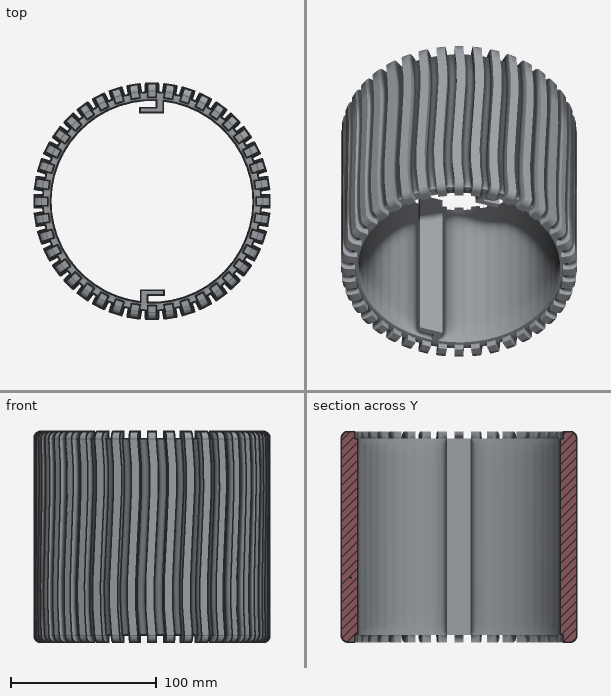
import cadquery as cq

sleeve_inner_radius = 69.5
sleeve_outer_radius = 75.0
overall_height = 145.0
rib_overhang = 5.0
sleeve_bottom = rib_overhang
sleeve_top = overall_height - rib_overhang
sleeve_height = sleeve_top - sleeve_bottom

rib_count = 40
rib_width = 6.0
rib_inner_radius = 71.5
rib_outer_radius = 81.0
rib_depth = rib_outer_radius - rib_inner_radius
wave_amplitude = 1.5
wave_crest_height = 24.0
rib_end_radius = rib_overhang

hook_count = 2
hook_leg_inner_side = 3.0
hook_leg_thickness = 4.8
hook_leg_outer_side = hook_leg_inner_side + hook_leg_thickness
hook_tip = -8.25
hook_bar_inner = 61.0
hook_bar_thickness = 3.3
hook_root = (sleeve_inner_radius + sleeve_outer_radius) / 2


def make_sleeve():
    return (
        cq.Workplane("XY", origin=(0, 0, sleeve_bottom))
        .circle(sleeve_outer_radius)
        .circle(sleeve_inner_radius)
        .extrude(sleeve_height)
    )


def wave_points(offset):
    """Points up one side of a rib: the wave swings right above the middle and left below it."""
    return [
        (offset, sleeve_bottom),
        (offset - wave_amplitude, sleeve_bottom + wave_crest_height),
        (offset + wave_amplitude, sleeve_top - wave_crest_height),
        (offset, sleeve_top),
    ]


def make_rib():
    """The rib on the -Y side, with straight ends rounded on their outer corner."""
    half_width = rib_width / 2
    right_side = wave_points(half_width)
    left_side = wave_points(-half_width)[::-1]
    wave = (
        cq.Workplane("XZ", origin=(0, -rib_inner_radius, 0))
        .moveTo(*right_side[0])
        .spline(right_side[1:], includeCurrent=True)
        .lineTo(*left_side[0])
        .spline(left_side[1:], includeCurrent=True)
        .close()
        .extrude(rib_depth)
    )
    rounding_start = -rib_outer_radius + rib_end_radius
    bottom_end = (
        cq.Workplane("YZ", origin=(-half_width, 0, 0))
        .moveTo(-rib_inner_radius, 0)
        .lineTo(rounding_start, 0)
        .radiusArc((-rib_outer_radius, sleeve_bottom), rib_end_radius)
        .lineTo(-rib_inner_radius, sleeve_bottom)
        .close()
        .extrude(rib_width)
    )
    top_end = bottom_end.mirror("XY", (0, 0, overall_height / 2))
    return wave.union(bottom_end).union(top_end)


def make_hook():
    """The hook on the +Y side."""
    return (
        cq.Workplane("XY", origin=(0, 0, sleeve_bottom))
        .moveTo(hook_leg_outer_side, hook_root)
        .lineTo(hook_leg_outer_side, hook_bar_inner)
        .lineTo(hook_tip, hook_bar_inner)
        .lineTo(hook_tip, hook_bar_inner + hook_bar_thickness)
        .lineTo(hook_leg_inner_side, hook_bar_inner + hook_bar_thickness)
        .lineTo(hook_leg_inner_side, hook_root)
        .close()
        .extrude(sleeve_height)
    )


def copies_around(shape, count):
    """Copies of the shape evenly spaced about the Z axis."""
    return [shape.val().rotate((0, 0, 0), (0, 0, 1), i * 360 / count) for i in range(count)]


ribs = copies_around(make_rib(), rib_count)
hooks = copies_around(make_hook(), hook_count)
ribbed_sleeve = make_sleeve().val().fuse(*ribs, *hooks).clean()

result = cq.Compound.makeCompound(ribbed_sleeve.Solids())